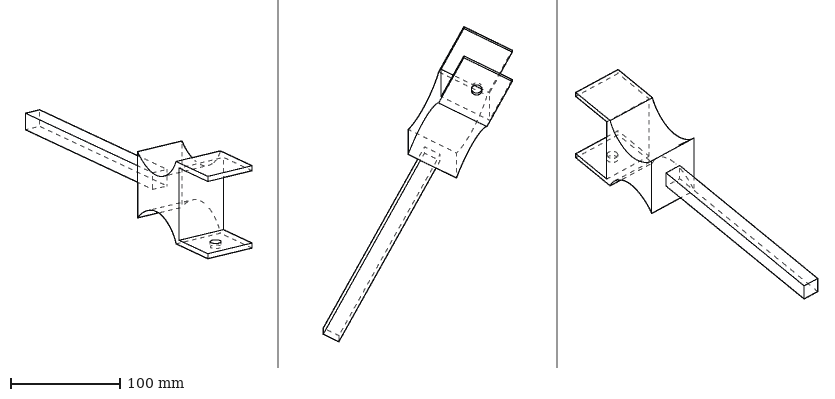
import cadquery as cq

total_length = 310.0
width = 50.0
height = 80.0

bar_side = 16.0
bar_length = 200.0

leg_thickness = 5.0
leg_length = 50.0
leg_start = total_length - leg_length
wall_x = leg_start + leg_thickness

back_half_height = 32.2
waist_half_height = 17.7
waist_x = bar_length + 31.5
flank_x = bar_length + 15.2
flank_half_height = 20.8
shoulder_x = bar_length + 50.2
shoulder_half_height = 26.0

hole_diameter = 10.0
hole_x = (wall_x + total_length) / 2


def waist_curve(side):
    """Points from the back face to a leg; side is 1 for upper, -1 for lower."""
    return [
        (bar_length, side * back_half_height),
        (flank_x, side * flank_half_height),
        (waist_x, side * waist_half_height),
        (shoulder_x, side * shoulder_half_height),
        (leg_start, side * height / 2),
    ]


def make_head():
    """Waisted body and fork, extruded across the full width."""
    upper = waist_curve(1)
    lower = waist_curve(-1)[::-1]
    inner = height / 2 - leg_thickness
    return (
        cq.Workplane("XZ", origin=(0, width / 2, 0))
        .moveTo(*upper[0])
        .spline(upper[1:], includeCurrent=True)
        .lineTo(total_length, height / 2)
        .lineTo(total_length, inner)
        .lineTo(wall_x, inner)
        .lineTo(wall_x, -inner)
        .lineTo(total_length, -inner)
        .lineTo(total_length, -height / 2)
        .lineTo(*lower[0])
        .spline(lower[1:], includeCurrent=True)
        .close()
        .extrude(width)
    )


def make_bar():
    """Square bar running from the origin to the back face of the head."""
    return cq.Workplane("YZ").rect(bar_side, bar_side).extrude(bar_length)


def make_hole():
    """Cutter passing through the lower leg only."""
    return (
        cq.Workplane("XY", origin=(hole_x, 0, -height / 2))
        .circle(hole_diameter / 2)
        .extrude(leg_thickness)
    )


result = make_head().union(make_bar()).cut(make_hole())